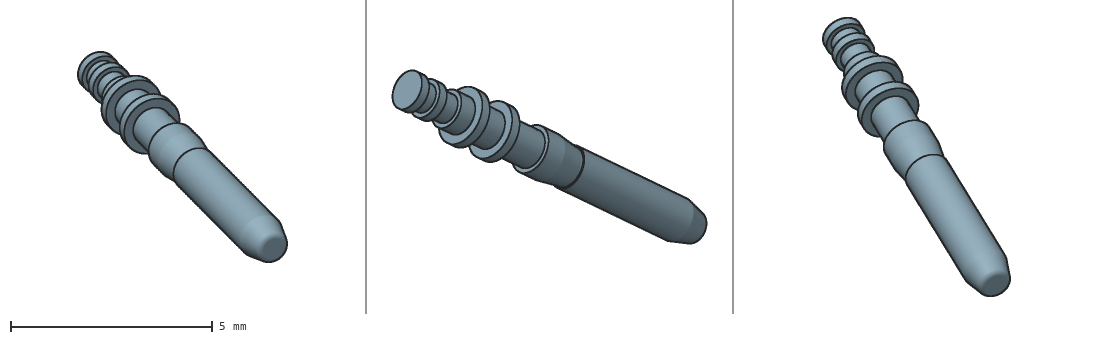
import cadquery as cq
import math

length = 10.29
flange_dia = 1.52
shank_dia = 1.03
neck_dia = 0.78
collar_dia = 1.28
groove_dia = 1.08
pin_dia = 1.16

head_width = 0.26
second_head_start = 0.63

shank_start = 1.4
flange_width = 0.27
flange_starts = (1.89, 2.95)

collar_start = 4.37
taper_start = 4.96
groove_start = 5.64
pin_start = 5.7

nose_start = 9.58
nose_angle = math.radians(14.5)
tip_radius = 0.15


def cylinder(start, end, diameter):
    """Solid cylinder along X between two stations."""
    return cq.Workplane("YZ", origin=(start, 0, 0)).circle(diameter / 2).extrude(end - start)


def rear_terminal():
    body = cylinder(0, shank_start, neck_dia)
    for start in (0, second_head_start):
        body = body.union(cylinder(start, start + head_width, shank_dia))
    return body


def flanged_shank():
    body = cylinder(shank_start, collar_start, shank_dia)
    for start in flange_starts:
        body = body.union(cylinder(start, start + flange_width, flange_dia))
    return body


def collar_and_pin():
    arc_start_x = length - tip_radius * (1 - math.sin(nose_angle))
    arc_start_r = pin_dia / 2 - (arc_start_x - nose_start) * math.tan(nose_angle)
    arc_center_x = length - tip_radius
    arc_center_r = arc_start_r - tip_radius * math.cos(nose_angle)
    mid_angle = (math.pi / 2 - nose_angle) / 2
    arc_mid = (
        arc_center_x + tip_radius * math.cos(mid_angle),
        arc_center_r + tip_radius * math.sin(mid_angle),
    )
    profile = (
        cq.Workplane("XY")
        .moveTo(collar_start, 0)
        .lineTo(collar_start, collar_dia / 2)
        .lineTo(taper_start, collar_dia / 2)
        .lineTo(groove_start, groove_dia / 2)
        .lineTo(pin_start, groove_dia / 2)
        .lineTo(pin_start, pin_dia / 2)
        .lineTo(nose_start, pin_dia / 2)
        .lineTo(arc_start_x, arc_start_r)
        .threePointArc(arc_mid, (length, arc_center_r))
        .lineTo(length, 0)
        .close()
    )
    return profile.revolve(360, (0, 0, 0), (1, 0, 0))


result = rear_terminal().union(flanged_shank()).union(collar_and_pin())